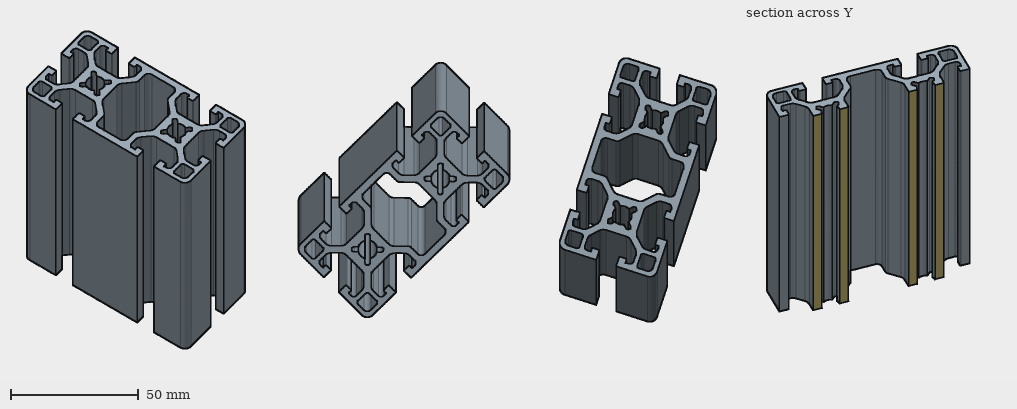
import cadquery as cq
import math

module = 40.0
length = 100.0
outer_radius = 3.0
half_module = module / 2
width = 2 * module

slot_half_opening = 4.1
hook_width = 3.0
hook_radius = 0.3
hook_height = 4.1
lip_thickness = 2.5
slot_half_width = 10.0
slot_floor = 7.5
web_offset = 2.0
undercut_radius = 1.5
web_radius = 3.0

corner_wall = 2.0
corner_size = 6.1
corner_radius = 1.0
corner_outer_radius = 2.0

chamber_wall = 3.0
chamber_core = 7.4
chamber_side = 12.7
chamber_radius = 2.0

bore_radius = 3.7
groove_width = 2.0
groove_reach = 4.7


def block(x_min, x_max, y_min, y_max):
    """Full-length rectangular prism."""
    return (
        cq.Workplane("XY")
        .center((x_min + x_max) / 2, (y_min + y_max) / 2)
        .rect(x_max - x_min, y_max - y_min)
        .extrude(length)
    )


def t_slot():
    """Void of one T-slot opening toward +Y, centered on the module axis."""
    roof = half_module - lip_thickness
    half_outline = [
        (slot_floor - web_offset, slot_floor),
        (slot_half_width, slot_half_width + web_offset),
        (slot_half_width, roof),
    ]
    mirrored = [(-x, y) for x, y in reversed(half_outline)]
    void = cq.Workplane("XY").polyline(half_outline + mirrored).close().extrude(length)
    void = void.edges("|Z").edges(">Y").fillet(undercut_radius)
    below_roof = (slot_half_width + web_offset + roof) / 2
    web_corners = cq.selectors.BoxSelector((-half_module, 0, 0), (half_module, below_roof, length))
    void = void.edges("|Z").edges(web_corners).fillet(web_radius)
    hook_tip = half_module - hook_height
    hook_center = slot_half_opening + hook_width / 2
    for x in (-hook_center, hook_center):
        hook = block(x - hook_width / 2, x + hook_width / 2, hook_tip, half_module)
        void = void.cut(hook.edges("|Z").edges("<Y").fillet(hook_radius))
    opening = block(-slot_half_opening, slot_half_opening, hook_tip + hook_radius, half_module)
    return void.union(opening)


def corner_hollows():
    """Rounded square voids in the four outer corners, rounder on the outermost edge."""
    x_max = width / 2 - corner_wall
    y_max = half_module - corner_wall
    hollow = block(x_max - corner_size, x_max, y_max - corner_size, y_max)
    hollow = hollow.edges("|Z and (not >(1,1,0))").fillet(corner_radius)
    hollow = hollow.edges(">(1,1,0)").fillet(corner_outer_radius)
    pair = hollow.union(hollow.mirror("YZ"))
    return pair.union(pair.mirror("XZ"))


def central_chamber():
    """Void between the two cores, bounded by the diagonal webs."""
    core_x = half_module - chamber_core
    side_x = half_module - chamber_side
    quarter = [
        (core_x, chamber_core - web_offset),
        (side_x, chamber_side - web_offset),
        (side_x, half_module - chamber_wall),
    ]
    upper = quarter + [(-x, y) for x, y in reversed(quarter)]
    lower = [(-x, -y) for x, y in upper]
    outline = cq.Workplane("XY").polyline(upper + lower).close()
    chamber = outline.extrude(length)
    web_middle = (chamber_core + chamber_side) / 2 - web_offset
    core_corners = cq.selectors.BoxSelector(
        (-half_module, -web_middle, 0), (half_module, web_middle, length)
    )
    side_corners = cq.StringSyntaxSelector("|Z") - core_corners
    chamber = chamber.edges(side_corners).fillet(chamber_radius)
    return chamber.edges("|Z").edges(core_corners).fillet(web_radius)


def core_bore():
    """Round bore crossed by two diagonal grooves with rounded ends."""
    end_center = groove_reach - groove_width / 2
    groove_length = 2 * math.hypot(end_center, end_center) + groove_width
    bore = cq.Workplane("XY").circle(bore_radius).extrude(length)
    for angle in (45, -45):
        groove = cq.Workplane("XY").slot2D(groove_length, groove_width, angle).extrude(length)
        bore = bore.union(groove)
    return bore


result = block(-width / 2, width / 2, -half_module, half_module).edges("|Z").fillet(outer_radius)
result = result.cut(corner_hollows()).cut(central_chamber())

slot = t_slot()
bore = core_bore()
for module_x, end_angle in ((-half_module, 90), (half_module, -90)):
    for angle in (0, 180, end_angle):
        turned_slot = slot.rotate((0, 0, 0), (0, 0, 1), angle)
        result = result.cut(turned_slot.translate((module_x, 0, 0)))
    result = result.cut(bore.translate((module_x, 0, 0)))